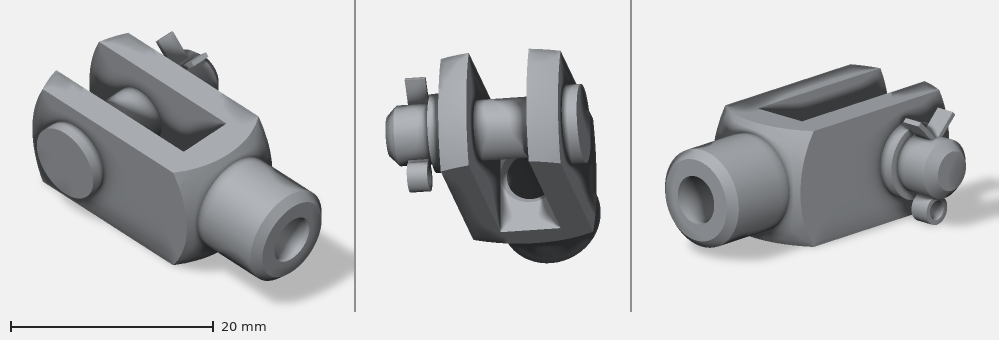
import cadquery as cq
import math

total_length = 31.0
body_width = 12.0
slot_width = 6.0
slot_depth = 18.97
shank_start = 22.88
shank_diameter = 10.0
shank_chamfer = 0.85
bore_diameter = 4.93
bore_mouth_diameter = slot_width
tip_sphere_radius = 14.5
shoulder_sphere_radius = 12.0

pin_x = 6.98
pin_diameter = 6.0
pin_end_chamfer = 1.0
pin_protrusion = 6.0
collar_diameter = 7.8
collar_thickness = 1.5

clip_width = 2.05
clip_gap_from_body = 1.92
strip_thickness = 0.5
leg_end_height = 5.15
leg_half_gap = 0.15
leg_angle = 45.0
loop_radius = 1.5

half_width = body_width / 2
pin_radius = pin_diameter / 2
shank_radius = shank_diameter / 2


def rod_along_y(diameter, start, end):
    """Cylinder on the clevis pin axis between two Y positions."""
    rod = cq.Workplane("XZ", origin=(pin_x, start, 0)).circle(diameter / 2)
    return rod.extrude(start - end)


def make_clevis():
    block_start = -slot_width
    block = cq.Workplane("YZ", origin=(block_start, 0, 0)).rect(body_width, body_width)
    block = block.extrude(shank_start - block_start)

    tip_center = math.sqrt(tip_sphere_radius**2 - (slot_width / 2) ** 2)
    shoulder_center = shank_start - math.sqrt(shoulder_sphere_radius**2 - shank_radius**2)

    def tip_point(radius):
        return (tip_center - math.sqrt(tip_sphere_radius**2 - radius**2), radius)

    def shoulder_point(radius):
        return (shoulder_center + math.sqrt(shoulder_sphere_radius**2 - radius**2), radius)

    outer_radius = 1.5 * half_width
    turned_ends = (
        cq.Workplane("XY")
        .moveTo(*tip_point(0))
        .threePointArc(tip_point(half_width), tip_point(outer_radius))
        .lineTo(*shoulder_point(outer_radius))
        .threePointArc(shoulder_point(half_width), shoulder_point(shank_radius))
        .lineTo(shank_start, 0)
        .close()
        .revolve(360, (0, 0, 0), (1, 0, 0))
    )
    body = block.intersect(turned_ends)

    shank = (
        cq.Workplane("YZ", origin=(slot_depth, 0, 0))
        .circle(shank_radius)
        .extrude(total_length - slot_depth)
        .faces(">X")
        .chamfer(shank_chamfer)
    )
    slot = (
        cq.Workplane("XY", origin=(block_start, 0, 0))
        .box(slot_depth - block_start, slot_width, body_width, centered=(False, True, True))
    )
    bore = cq.Workplane("YZ").circle(bore_diameter / 2).extrude(total_length)

    mouth_depth = (bore_mouth_diameter - bore_diameter) / 2
    mouth = (
        cq.Workplane("YZ", origin=(slot_depth, 0, 0))
        .circle(bore_mouth_diameter / 2)
        .workplane(offset=mouth_depth)
        .circle(bore_diameter / 2)
        .loft(ruled=True)
    )
    return body.union(shank).cut(slot).cut(bore).cut(mouth)


def make_pin():
    collar_end = half_width + collar_thickness
    pin_end = half_width + pin_protrusion
    pin = rod_along_y(pin_diameter, -half_width, pin_end)
    pin = pin.faces(">Y").chamfer(pin_end_chamfer)
    head = rod_along_y(collar_diameter, -collar_end, -half_width)
    collar = rod_along_y(collar_diameter, half_width, collar_end)
    return pin.union(head).union(collar)


def make_split_pin():
    clip_start = half_width + clip_gap_from_body
    plane = cq.Workplane("XZ", origin=(pin_x, clip_start, 0))
    clip = None

    angle = math.radians(leg_angle)
    rise = leg_end_height - pin_radius
    leg_x = leg_half_gap + rise * math.tan(angle)
    root_x = leg_half_gap - pin_radius / 2 * math.tan(angle)
    root_z = pin_radius / 2
    offset_x = strip_thickness * math.cos(angle)
    offset_z = strip_thickness * math.sin(angle)
    for side in (-1, 1):
        leg = (
            plane.moveTo(side * root_x, root_z)
            .lineTo(side * leg_x, leg_end_height)
            .lineTo(side * (leg_x + offset_x), leg_end_height - offset_z)
            .lineTo(side * (root_x + offset_x), root_z - offset_z)
            .close()
            .extrude(-clip_width)
        )
        clip = leg if clip is None else clip.union(leg)

    loop_z = loop_radius - half_width
    loop_inner_radius = loop_radius - strip_thickness
    neck_width = 2 * (leg_half_gap + strip_thickness)
    neck_bottom = loop_z + loop_inner_radius
    neck = (
        plane.center(0, neck_bottom / 2)
        .rect(neck_width, -neck_bottom)
        .extrude(-clip_width)
    )
    loop = plane.center(0, loop_z).circle(loop_radius).extrude(-clip_width)
    eye = plane.center(0, loop_z).circle(loop_inner_radius).extrude(-clip_width)
    return clip.union(neck).union(loop).cut(eye)


result = make_clevis().union(make_pin()).union(make_split_pin())